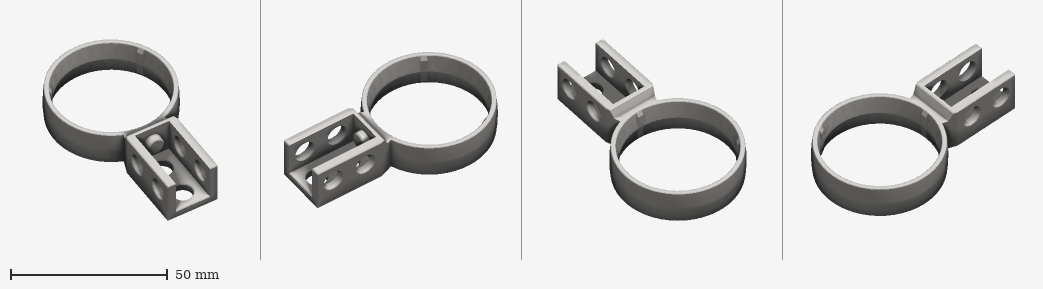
import cadquery as cq
import math

ring_height = 12.5
ring_waist_z = ring_height / 2
ring_diameter = 43.8
ring_max_radius = ring_diameter / 2
ring_rim_radius = 21.5
bore_waist_radius = 18.7
bore_rim_radius = 19.85
ring_edge_chamfer = 0.2
ring_base_chamfer = 0.35

rib_count = 3
rib_width = 2.15
rib_waist_radius = 18.6
rib_shoulder_radius = 19.0
rib_end_angle = 60.0

overall_length = 71.9
clevis_height = 15.6
clevis_width = 18.75
wall = 3.0
slot_start_x = 25.0
clevis_end_x = overall_length - ring_max_radius
edge_chamfer = 0.3

neck_start_x = 19.4
neck_taper_angle = 20.5
neck_bevel_start_x = 22.0
neck_bevel_angle = 60.0

hole_diameter = 7.0
hole_edge_chamfer = 0.3
hole_pitch = 12.5
hole_margin = hole_pitch / 2
hole_z = 9.35
hole_positions_x = [slot_start_x + hole_margin + i * hole_pitch for i in range(2)]

pin_base_diameter = 6.5
pin_tip_diameter = 6.2
pin_length = 2.6
pin_chamfer = 0.4


def ring_blank():
    """Solid barrel with chamfered rims, its wall split into two arcs at the waist."""
    shoulder_z = ring_height - ring_edge_chamfer
    bulge = ring_max_radius - ring_rim_radius
    half_arc_radius = ring_max_radius - bulge / 4
    low_arc_z = (ring_base_chamfer + ring_waist_z) / 2
    high_arc_z = (ring_waist_z + shoulder_z) / 2
    return (
        cq.Workplane("XZ")
        .moveTo(0, 0)
        .lineTo(ring_rim_radius - ring_base_chamfer, 0)
        .lineTo(ring_rim_radius, ring_base_chamfer)
        .threePointArc((half_arc_radius, low_arc_z), (ring_max_radius, ring_waist_z))
        .threePointArc((half_arc_radius, high_arc_z), (ring_rim_radius, shoulder_z))
        .lineTo(ring_rim_radius - ring_edge_chamfer, ring_height)
        .lineTo(0, ring_height)
        .close()
        .revolve(360, (0, 0, 0), (0, 1, 0))
    )


def bore():
    """Hourglass bore with chamfered rims."""
    mouth_radius = bore_rim_radius + ring_edge_chamfer
    return (
        cq.Workplane("XZ")
        .polyline([
            (0, 0),
            (mouth_radius, 0),
            (bore_rim_radius, ring_edge_chamfer),
            (bore_waist_radius, ring_waist_z),
            (bore_rim_radius, ring_height - ring_edge_chamfer),
            (mouth_radius, ring_height),
            (0, ring_height),
        ])
        .close()
        .revolve(360, (0, 0, 0), (0, 1, 0))
    )


def bore_ribs():
    """Flat-sided ribs, slightly pointed at the waist, with sloped ends rooted in the ring wall."""
    root_radius = (bore_rim_radius + ring_rim_radius) / 2
    end_rise = (bore_rim_radius - rib_shoulder_radius) * math.tan(math.radians(rib_end_angle))
    low_end_z = ring_edge_chamfer
    high_end_z = ring_height - ring_edge_chamfer
    rib = (
        cq.Workplane("XZ")
        .polyline([
            (root_radius, low_end_z),
            (bore_rim_radius, low_end_z),
            (rib_shoulder_radius, low_end_z + end_rise),
            (rib_waist_radius, ring_waist_z),
            (rib_shoulder_radius, high_end_z - end_rise),
            (bore_rim_radius, high_end_z),
            (root_radius, high_end_z),
        ])
        .close()
        .extrude(rib_width / 2, both=True)
    )
    ribs = rib
    for i in range(1, rib_count):
        ribs = ribs.union(rib.rotate((0, 0, 0), (0, 0, 1), i * 360 / rib_count))
    return ribs


def bracket_blank():
    """Neck and clevis block, bevelled down to the ring top, outer edges chamfered."""
    half_width = clevis_width / 2
    neck_run = slot_start_x - neck_start_x
    neck_half_width = half_width - neck_run * math.tan(math.radians(neck_taper_angle))
    block = (
        cq.Workplane("XY")
        .polyline([
            (neck_start_x, -neck_half_width),
            (slot_start_x, -half_width),
            (clevis_end_x, -half_width),
            (clevis_end_x, half_width),
            (slot_start_x, half_width),
            (neck_start_x, neck_half_width),
        ])
        .close()
        .extrude(clevis_height)
    )
    bevel_run = (clevis_height - ring_height) / math.tan(math.radians(neck_bevel_angle))
    above_neck = (
        cq.Workplane("XZ")
        .polyline([
            (neck_start_x, ring_height),
            (neck_bevel_start_x, ring_height),
            (neck_bevel_start_x + bevel_run, clevis_height),
            (neck_start_x, clevis_height),
        ])
        .close()
        .extrude(clevis_width, both=True)
    )
    block = block.cut(above_neck)
    outer_edges = block.faces(">Z or <Z or >X").edges()
    return outer_edges.chamfer(edge_chamfer)


def clevis_slot():
    """Slot between the cheeks, open at the top and at the +X end, where the floor edge is chamfered."""
    slot_width = clevis_width - 2 * wall
    return (
        cq.Workplane("XZ")
        .polyline([
            (slot_start_x, wall),
            (clevis_end_x - edge_chamfer, wall),
            (clevis_end_x, wall - edge_chamfer),
            (clevis_end_x, clevis_height),
            (slot_start_x, clevis_height),
        ])
        .close()
        .extrude(slot_width / 2, both=True)
    )


def chamfered_drill(length):
    """Drill along Z from the origin that widens at both ends."""
    radius = hole_diameter / 2
    mouth_radius = radius + hole_edge_chamfer
    return (
        cq.Workplane("XZ")
        .polyline([
            (0, 0),
            (mouth_radius, 0),
            (radius, hole_edge_chamfer),
            (radius, length - hole_edge_chamfer),
            (mouth_radius, length),
            (0, length),
        ])
        .close()
        .revolve(360, (0, 0, 0), (0, 1, 0))
    )


def locating_pin():
    """Slightly tapered round pin on the closed end of the slot, pointing to +X."""
    tip_radius = pin_tip_diameter / 2
    return (
        cq.Workplane("XY", origin=(slot_start_x, 0, hole_z))
        .polyline([
            (0, 0),
            (0, pin_base_diameter / 2),
            (pin_length - pin_chamfer, tip_radius),
            (pin_length, tip_radius - pin_chamfer),
            (pin_length, 0),
        ])
        .close()
        .revolve(360, (0, 0, 0), (1, 0, 0))
    )


result = ring_blank().union(bracket_blank()).cut(bore()).union(bore_ribs())
result = result.cut(clevis_slot())

wall_drill = chamfered_drill(wall)
cheek_drill = wall_drill.rotate((0, 0, 0), (1, 0, 0), -90)
for hole_x in hole_positions_x:
    result = result.cut(wall_drill.translate((hole_x, 0, 0)))
    for cheek_y in (-clevis_width / 2, clevis_width / 2 - wall):
        result = result.cut(cheek_drill.translate((hole_x, cheek_y, hole_z)))

result = result.union(locating_pin())